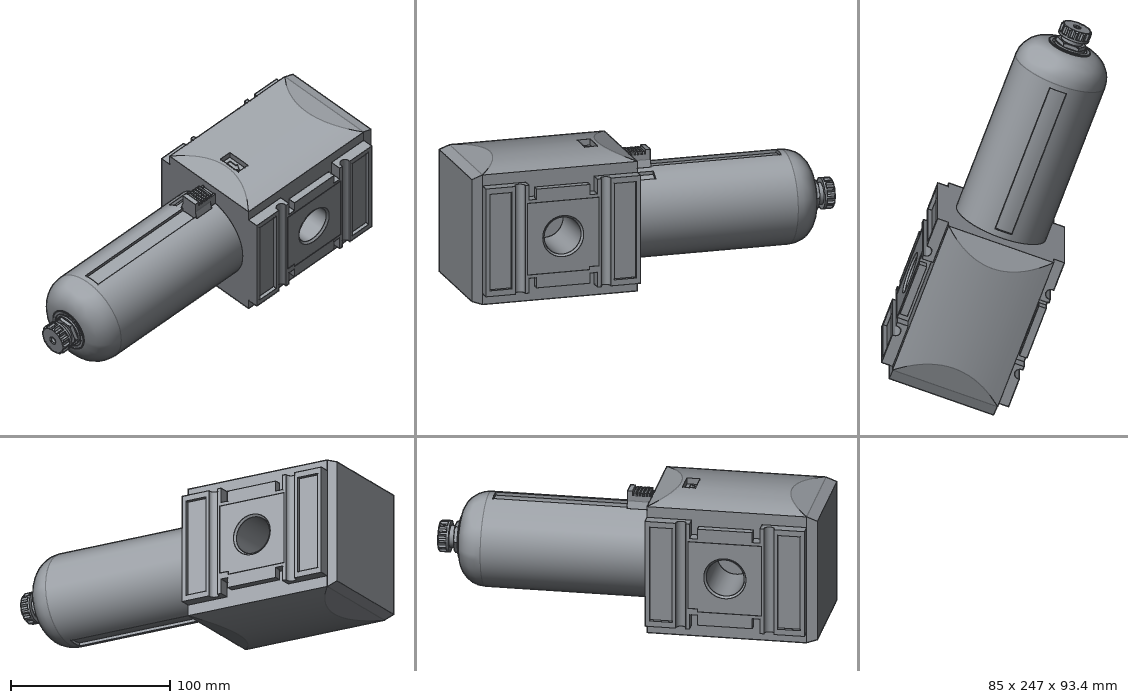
import cadquery as cq
import math


housing_length = 108.7
core_width = 70.5
core_height = 85.0
crown_height = 93.4
end_slope = math.radians(15)
cap_slope = math.radians(20)
cap_inset = 0.2
crown_rise = (crown_height - core_height) / 2

overall_width = 85.0
flange_length = 101.8
flange_half_height = 35.3
flange_center = 51.0
groove_offset = 28.2
groove_width = 6.5
groove_depth = 4.2
window_half_length = 22.5
window_floor = 25.7
rail_half_length = 17.5
rail_top = 32.4
rail_thickness = 5.0
pocket_length = 14.5
pocket_half_height = 31.5
pocket_margin = 2.7
pocket_depth = 2.5
pad_half_size = 23.5
pad_depth = 0.2
pad_step_length = 6.2
pad_step_height = 2.0

port_diameter = 24.2
port_mouth = 27.0
port_depth = 39.5

arrow_y = 22.0
arrow_pocket_length = 16.0
arrow_pocket_width = 8.5
arrow_height = 0.5
arrow_length = 10.0
arrow_head_length = 4.7
arrow_head_width = 5.5
arrow_shaft_width = 3.0

bowl_diameter = 60.0
bowl_straight = 107.5
bowl_end = 124.2
slot_width = 11.0
slot_start = 4.2
slot_end = 103.7
slot_depth = 2.0
mark_inner_x = 11.4
mark_end_angle = 35.3
mark_length = 17.8

latch_width = 11.0
latch_length = 17.8
latch_top = 37.5
lip_top = 40.5
lip_thickness = 3.2
ridge_count = 5
ridge_pitch = 2.2
ridge_thickness = 1.2
ridge_top = 39.5
first_ridge = 4.2
notch_width = 8.2
notch_length = 3.0
notch_depth = 0.7
skirt_start = 4.5
skirt_width = 14.0
skirt_top = 33.8
skirt_bottom = 29.1

seat_flange_diameter = 28.0
seat_flange_end = 125.0
seat_flange_chamfer = 0.5
seat_diameter = 23.0
seat_depth = 0.7
collar_diameter = 20.0
collar_end = 125.7
hex_sides = 6
hex_across_flats = 17.3
hex_end = 128.2
hex_chamfer = 0.7
neck_diameter = 14.0
knob_start = 131.5
knob_end = 138.3
knob_chamfer = 1.0
knurl_start = 133.0
knurl_count = 12
knurl_floor_width = 1.5
knurl_mouth_width = 4.5
knurl_depth = 1.2
drain_hole = 4.0
drain_mouth = 5.2
drain_hole_depth = 5.0


def block(x_range, y_range, z_range):
    """Box between two limits along each axis."""
    limits = (x_range, y_range, z_range)
    sizes = [high - low for low, high in limits]
    corner = tuple(low for low, high in limits)
    return cq.Workplane("XY").box(*sizes, centered=False).translate(corner)


def disc(diameter, start, end):
    """Cylinder on the bowl axis, from `start` to `end` below the housing."""
    return cq.Workplane("XZ", origin=(0, -start, 0)).circle(diameter / 2).extrude(end - start)


def make_core():
    """Domed block with its dome ends cut to sloping flats."""
    half_width = core_width / 2
    half_height = core_height / 2
    crown = crown_height / 2
    section = (
        cq.Workplane("XZ")
        .moveTo(-half_width, -half_height)
        .lineTo(-half_width, half_height)
        .threePointArc((0, crown), (half_width, half_height))
        .lineTo(half_width, -half_height)
        .threePointArc((0, -crown), (-half_width, -half_height))
        .close()
        .extrude(-housing_length)
    )
    slope_run = crown_rise / math.tan(end_slope)
    cap_length = housing_length - flange_length
    back_drop = cap_length * math.tan(cap_slope)
    upper = [
        (0, half_height),
        (slope_run, crown),
        (flange_length - slope_run, crown),
        (flange_length, half_height),
        (housing_length, half_height - back_drop),
    ]
    lower = [(y, -z) for y, z in reversed(upper)]
    side_outline = cq.Workplane("YZ").polyline(upper + lower).close().extrude(core_width, both=True)
    core = section.intersect(side_outline)
    for side in (-1, 1):
        inset_x = sorted((side * half_width, side * (half_width - cap_inset)))
        core = core.cut(block(inset_x, (flange_length, housing_length), (-crown, crown)))
    return core


def make_flange():
    """Connection flange on the -X side."""
    outer = -overall_width / 2
    inner = -core_width / 2
    full_height = (-flange_half_height, flange_half_height)
    flange = block((outer, inner), (0, flange_length), full_height)

    for side in (-1, 1):
        window_y = (flange_center - window_half_length, flange_center + window_half_length)
        window_z = sorted((side * window_floor, side * flange_half_height))
        flange = flange.cut(block((outer, inner), window_y, window_z))
        rail_y = (flange_center - rail_half_length, flange_center + rail_half_length)
        rail_z = sorted((side * window_floor, side * rail_top))
        flange = flange.union(block((outer, outer + rail_thickness), rail_y, rail_z))

        radius = groove_width / 2
        groove_y = flange_center + side * groove_offset
        round_x = outer + groove_depth - radius
        groove = (
            cq.Workplane("XY", origin=(0, 0, -flange_half_height))
            .moveTo(outer, groove_y - radius)
            .lineTo(round_x, groove_y - radius)
            .threePointArc((outer + groove_depth, groove_y), (round_x, groove_y + radius))
            .lineTo(outer, groove_y + radius)
            .close()
            .extrude(2 * flange_half_height)
        )
        flange = flange.cut(groove)

        pocket_y = flange_center + side * (flange_length / 2 - pocket_margin - pocket_length / 2)
        pocket = block(
            (outer, outer + pocket_depth),
            (pocket_y - pocket_length / 2, pocket_y + pocket_length / 2),
            (-pocket_half_height, pocket_half_height),
        )
        flange = flange.cut(pocket)

    pad_x = (outer, outer + pad_depth)
    pad_y = (flange_center - pad_half_size, flange_center + pad_half_size)
    pad = block(pad_x, pad_y, (-pad_half_size, pad_half_size))
    step = block(
        pad_x,
        (pad_y[0], pad_y[0] + pad_step_length),
        (-pad_half_size, -pad_half_size + pad_step_height),
    )
    return flange.cut(pad.cut(step))


def make_port():
    """Tool for the blind port with a countersunk mouth on the -X side."""
    floor = -overall_width / 2 + pad_depth
    mouth_depth = (port_mouth - port_diameter) / 2
    plane = cq.Workplane("YZ", origin=(floor, flange_center, 0))
    bore = plane.circle(port_diameter / 2).extrude(port_depth)
    cone = plane.circle(port_mouth / 2).workplane(offset=mouth_depth).circle(port_diameter / 2).loft()
    return bore.union(cone)


def make_arrow_pocket():
    """Tool for the pocket in the upper dome with a raised flow arrow on its floor."""
    floor = core_height / 2
    pocket = block(
        (-arrow_pocket_length / 2, arrow_pocket_length / 2),
        (arrow_y - arrow_pocket_width / 2, arrow_y + arrow_pocket_width / 2),
        (floor, crown_height / 2),
    )
    tail = -arrow_length / 2
    tip = arrow_length / 2
    neck = tip - arrow_head_length
    arrow = (
        cq.Workplane("XY", origin=(0, arrow_y, floor))
        .polyline([
            (tail, -arrow_shaft_width / 2),
            (neck, -arrow_shaft_width / 2),
            (neck, -arrow_head_width / 2),
            (tip, 0),
            (neck, arrow_head_width / 2),
            (neck, arrow_shaft_width / 2),
            (tail, arrow_shaft_width / 2),
        ])
        .close()
        .extrude(arrow_height)
    )
    return pocket.cut(arrow)


def make_housing():
    flange = make_flange()
    port = make_port()
    body = make_core().union(flange).union(flange.mirror("YZ"))
    return body.cut(port).cut(port.mirror("YZ")).cut(make_arrow_pocket())


def make_shell():
    """Bowl with its rounded end, upper and lower slots and alignment groove."""
    radius = bowl_diameter / 2
    floor_radius = radius - slot_depth
    shell = disc(bowl_diameter, 0, bowl_end).faces("<Y").edges().fillet(bowl_end - bowl_straight)

    rim = disc(bowl_diameter, slot_start, slot_end).cut(disc(2 * floor_radius, slot_start, slot_end))
    slots = rim.intersect(
        block((-slot_width / 2, slot_width / 2), (-slot_end, -slot_start), (-radius, radius))
    )

    def polar(distance, angle):
        return (-distance * math.sin(angle), distance * math.cos(angle))

    end_angle = math.radians(mark_end_angle)
    outer_angle = math.asin(mark_inner_x / radius)
    floor_angle = math.asin(mark_inner_x / floor_radius)
    mark = (
        cq.Workplane("XZ")
        .moveTo(*polar(floor_radius, floor_angle))
        .threePointArc(polar(floor_radius, (floor_angle + end_angle) / 2), polar(floor_radius, end_angle))
        .lineTo(*polar(radius, end_angle))
        .threePointArc(polar(radius, (outer_angle + end_angle) / 2), polar(radius, outer_angle))
        .close()
        .extrude(mark_length)
    )
    return shell.cut(slots).cut(mark)


def make_latch():
    """Ridged latch that rises from the bowl next to the housing."""
    half_width = latch_width / 2
    across = (-half_width, half_width)
    base = bowl_diameter / 2 - 2 * slot_depth
    latch = block(across, (-latch_length, 0), (base, latch_top))
    notch = block(
        (-notch_width / 2, notch_width / 2),
        (-notch_length, 0),
        (latch_top - notch_depth, latch_top),
    )
    latch = latch.cut(notch)
    lip_y = (-latch_length, -latch_length + lip_thickness)
    latch = latch.union(block(across, lip_y, (base, lip_top)))
    for index in range(ridge_count):
        ridge_y = -first_ridge - index * ridge_pitch
        ridge_range = (ridge_y - ridge_thickness / 2, ridge_y + ridge_thickness / 2)
        latch = latch.union(block(across, ridge_range, (base, ridge_top)))
    skirt = (
        cq.Workplane("XZ", origin=(0, -skirt_start, 0))
        .polyline([
            (-half_width, skirt_top),
            (half_width, skirt_top),
            (skirt_width / 2, skirt_bottom),
            (half_width, base),
            (-half_width, base),
            (-skirt_width / 2, skirt_bottom),
        ])
        .close()
        .extrude(latch_length - skirt_start)
    )
    return latch.union(skirt)


def make_drain():
    """Drain valve: seat flange, collar, hexagon, neck and knurled knob."""
    flange = disc(seat_flange_diameter, bowl_end, seat_flange_end)
    flange = flange.faces("<Y").edges().chamfer(seat_flange_chamfer)
    flange = flange.cut(disc(seat_diameter, seat_flange_end - seat_depth, seat_flange_end))
    collar = disc(collar_diameter, bowl_end, collar_end)
    hexagon = (
        cq.Workplane("XZ", origin=(0, -collar_end, 0))
        .polygon(hex_sides, hex_across_flats, circumscribed=True)
        .extrude(hex_end - collar_end)
        .rotate((0, 0, 0), (0, 1, 0), 180 / hex_sides)
    )
    rounding = disc(collar_diameter, collar_end, hex_end).faces("<Y").edges().chamfer(hex_chamfer)
    hexagon = hexagon.intersect(rounding)
    neck = disc(neck_diameter, hex_end, knob_start)

    knob = disc(collar_diameter, knob_start, knob_end).faces("<Y").edges().chamfer(knob_chamfer)
    rim = collar_diameter / 2
    knurl = (
        cq.Workplane("XZ", origin=(0, -knurl_start, 0))
        .polyline([
            (-knurl_floor_width / 2, rim - knurl_depth),
            (knurl_floor_width / 2, rim - knurl_depth),
            (knurl_mouth_width / 2, rim),
            (-knurl_mouth_width / 2, rim),
        ])
        .close()
        .extrude(knob_end - knurl_start)
    )
    pitch_angle = 360 / knurl_count
    for index in range(knurl_count):
        knob = knob.cut(knurl.rotate((0, 0, 0), (0, 1, 0), (index + 0.5) * pitch_angle))

    hole = disc(drain_hole, knob_end - drain_hole_depth, knob_end)
    knob = knob.cut(hole).faces("<Y").edges("%CIRCLE").edges(cq.selectors.RadiusNthSelector(0))
    knob = knob.chamfer((drain_mouth - drain_hole) / 2)
    return flange.union(collar).union(hexagon).union(neck).union(knob)


def make_bowl():
    return make_shell().union(make_latch()).union(make_drain())


housing = make_housing()
bowl = make_bowl()
result = cq.Compound.makeCompound([housing.val(), bowl.val()])